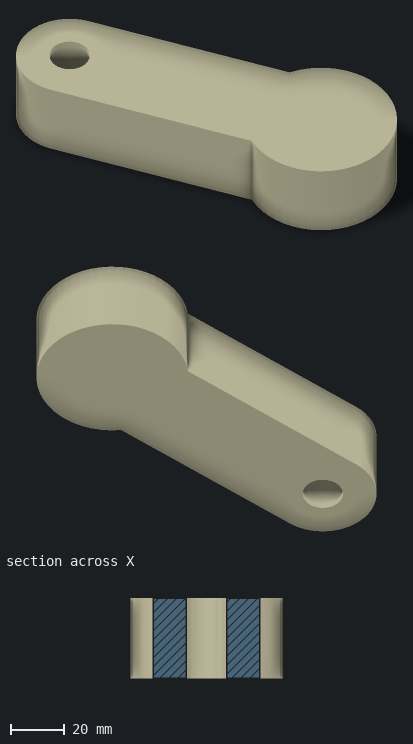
import cadquery as cq
import math

thickness = 30.0
arm_width = 40.0
center_distance = 100.0
pivot_hole_diameter = 15.0

arm_end_radius = arm_width / 2
disc_radius = arm_end_radius * math.sqrt(2)
seat_corner_x = center_distance - arm_end_radius
seat_bottom_x = center_distance - disc_radius


def make_arm():
    """Arm with a rounded end, a pivot hole and a concave seat that fits the disc."""
    outline = (
        cq.Workplane("XY")
        .moveTo(0, arm_end_radius)
        .threePointArc((-arm_end_radius, 0), (0, -arm_end_radius))
        .lineTo(seat_corner_x, -arm_end_radius)
        .threePointArc((seat_bottom_x, 0), (seat_corner_x, arm_end_radius))
        .close()
    )
    pivot_hole = cq.Workplane("XY").circle(pivot_hole_diameter / 2).extrude(thickness)
    return outline.extrude(thickness).cut(pivot_hole)


def make_disc():
    """Plain round disc, as thick as the arm, resting in the arm's seat."""
    return cq.Workplane("XY").center(center_distance, 0).circle(disc_radius).extrude(thickness)


arm = make_arm()
disc = make_disc()

result = cq.Compound.makeCompound([arm.val(), disc.val()])